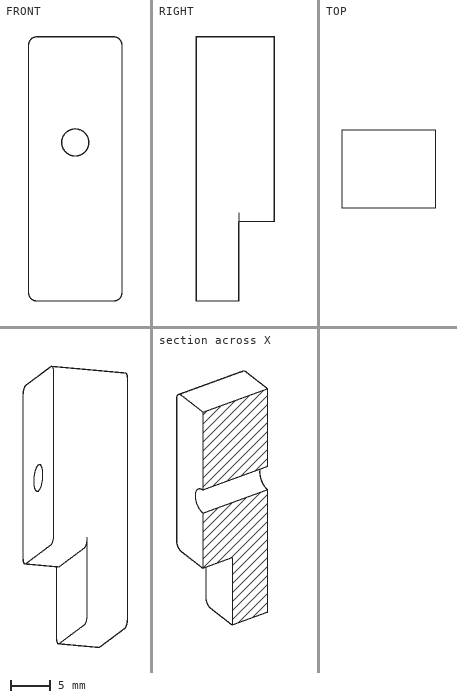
import cadquery as cq

width = 11.8
depth = 9.85
height = 33.3
corner_radius = 1.05

tongue_depth = 5.4
step_height = 10.02

hole_diameter = 3.4
hole_height = 19.98


def rounded_bar(length_y, bottom, top):
    """Bar along Y from the front face, with its four long edges rounded."""
    return (
        cq.Workplane("XY")
        .box(width, length_y, top - bottom, centered=(True, False, False))
        .translate((0, 0, bottom))
        .edges("|Y")
        .fillet(corner_radius)
    )


front_plate = rounded_bar(tongue_depth, 0, height)
upper_block = rounded_bar(depth, step_height, height)
hole = (
    cq.Workplane("XZ", origin=(0, depth, hole_height))
    .circle(hole_diameter / 2)
    .extrude(depth)
)

result = front_plate.union(upper_block).cut(hole)